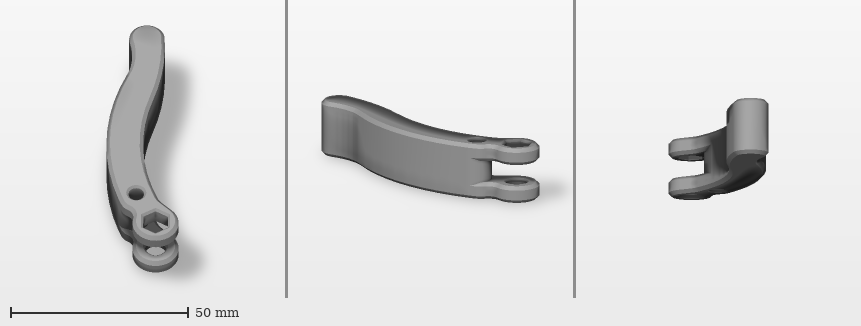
import cadquery as cq
import math

length = 71.6
width = 42.8
height = 16.0

tip_radius = 5.0
tip_centre = (tip_radius, width - tip_radius)
bend_centre = (62.75, 60.7)
bend_inner_radius = 49.5
bend_outer_radius = 59.9
back_radius = 60.0
palm_centre = (-0.3, 15.4)
palm_radius = 17.9
palm_end_x = 11.45
palm_blend_radius = 14.3
bend_start_x = 13.75

eye_radius = 6.5
eye_centre = (length - eye_radius, eye_radius)
neck_top_radius = 5.7
neck_top_slope = math.radians(16.2)
neck_top_start_x = 59.3
neck_top_end_x = 57.0
heel_start_x = 52.2
heel_nose = (54.35, 1.5)
heel_nose_radius = 4.3
neck_start = (57.0, 2.1)
neck_radius = 3.0
neck_end_x = 60.6

plate_thickness = 4.9
edge_chamfer = 1.0
nose_centre = (53.4, 6.3)
nose_radius = 4.4
nose_start = (52.8, 1.8)
nose_blend_radius = 5.9
nose_wall_angle = math.radians(26)
nose_wall_length = 7.15

pin_hole = (53.4, 6.9)
pin_hole_diameter = 4.4
hole_chamfer = 0.65
nut_flats = 6.95
screw_hole_diameter = 6.0
screw_rim_diameter = 7.0
groove_top = 3.7


def polar(centre, radius, angle):
    """Point of a circle at an angle from +X."""
    return (centre[0] + radius * math.cos(angle), centre[1] + radius * math.sin(angle))


def toward(centre, target, distance):
    """Point at a distance from centre, in the direction of target."""
    angle = math.atan2(target[1] - centre[1], target[0] - centre[0])
    return polar(centre, distance, angle)


def on_circle_at_x(centre, radius, x, side):
    """Point of a circle at x, above its centre (side 1) or below it (side -1)."""
    return (x, centre[1] + side * math.sqrt(radius**2 - (x - centre[0]) ** 2))


def centre_from_distances(first, first_distance, second, second_distance):
    """Point at the given distances from two points, on the right of the way from first to second."""
    gap = math.dist(first, second)
    along = (first_distance**2 - second_distance**2 + gap**2) / (2 * gap)
    aside = math.acos(along / first_distance)
    heading = math.atan2(second[1] - first[1], second[0] - first[0])
    return polar(first, first_distance, heading - aside)


back_centre = centre_from_distances(
    tip_centre, back_radius - tip_radius, bend_centre, back_radius + bend_inner_radius
)
back_start = toward(bend_centre, back_centre, bend_inner_radius)
tip_top = toward(back_centre, tip_centre, back_radius)
tip_bottom = toward(tip_centre, palm_centre, tip_radius)
palm_end = on_circle_at_x(palm_centre, palm_radius, palm_end_x, 1)
bend_start = on_circle_at_x(bend_centre, bend_outer_radius, bend_start_x, -1)
heel_start = on_circle_at_x(bend_centre, bend_outer_radius, heel_start_x, -1)
neck_end = on_circle_at_x(eye_centre, eye_radius, neck_end_x, -1)
neck_top_end = on_circle_at_x(bend_centre, bend_inner_radius, neck_top_end_x, -1)
eye_top = polar(eye_centre, eye_radius, math.pi / 2 + neck_top_slope)
neck_top_start = (
    neck_top_start_x,
    eye_top[1] - (eye_top[0] - neck_top_start_x) * math.tan(neck_top_slope),
)


def outline():
    """Outline of the whole lever, counterclockwise from the tip."""
    return (
        cq.Workplane("XY")
        .moveTo(*tip_bottom)
        .radiusArc(palm_end, palm_radius)
        .radiusArc(bend_start, palm_blend_radius)
        .radiusArc(heel_start, -bend_outer_radius)
        .lineTo(*heel_nose)
        .radiusArc(neck_start, -heel_nose_radius)
        .radiusArc(neck_end, neck_radius)
        .threePointArc((length, eye_centre[1]), eye_top)
        .lineTo(*neck_top_start)
        .radiusArc(neck_top_end, neck_top_radius)
        .radiusArc(back_start, bend_inner_radius)
        .radiusArc(tip_top, -back_radius)
        .threePointArc(toward(tip_centre, eye_centre, -tip_radius), tip_bottom)
        .close()
    )


def slab(bottom, thickness):
    """The outline as a plate with both rims chamfered."""
    body = outline().extrude(thickness).faces("|Z").edges().chamfer(edge_chamfer)
    return body.translate((0, 0, bottom))


def solid_end():
    """Region of the arm left unslotted: everything behind a round nose near the pin hole."""
    lower = polar(nose_centre, nose_radius, nose_wall_angle - math.pi / 2)
    upper = polar(nose_centre, nose_radius, math.pi / 2 - nose_wall_angle)
    upper_mouth = polar(upper, nose_wall_length, math.pi - nose_wall_angle)
    return (
        cq.Workplane("XY")
        .moveTo(nose_start[0], 0)
        .lineTo(*nose_start)
        .radiusArc(lower, -nose_blend_radius)
        .threePointArc(polar(nose_centre, nose_radius, 0), upper)
        .lineTo(*upper_mouth)
        .lineTo(upper_mouth[0], width)
        .lineTo(0, width)
        .lineTo(0, 0)
        .close()
        .extrude(height)
    )


def turned(axis_position, profile):
    """Solid of revolution about a vertical axis, from (radius, height) points."""
    return (
        cq.Workplane("XZ", origin=(*axis_position, 0))
        .polyline(profile)
        .close()
        .revolve(360, (0, 0), (0, 1))
    )


def pin_bore():
    """Through hole of the arm, with both mouths chamfered."""
    radius = pin_hole_diameter / 2
    mouth = radius + hole_chamfer
    return turned(pin_hole, [
        (0, 0),
        (mouth, 0),
        (radius, hole_chamfer),
        (radius, height - hole_chamfer),
        (mouth, height),
        (0, height),
    ])


def screw_bore():
    """Through hole of the lower plate, with both mouths chamfered and a groove below its rim."""
    radius = screw_hole_diameter / 2
    rim = screw_rim_diameter / 2
    return turned(eye_centre, [
        (0, 0),
        (radius + edge_chamfer, 0),
        (radius, edge_chamfer),
        (radius, groove_top - hole_chamfer),
        (radius + hole_chamfer, groove_top),
        (radius, groove_top),
        (radius, plate_thickness - (rim - radius)),
        (rim, plate_thickness),
        (0, plate_thickness),
    ])


def across_corners(across_flats):
    """Corner-to-corner size of a hexagon."""
    return across_flats / math.cos(math.pi / 6)


def nut_hole():
    """Hexagonal through hole of the upper plate, corners along Y, with a chamfered mouth."""
    corners = across_corners(nut_flats)
    mouth_corners = across_corners(nut_flats + 2 * hole_chamfer)
    bottom = height - plate_thickness
    hexagon = (
        cq.Workplane("XY", origin=(*eye_centre, bottom))
        .transformed(rotate=(0, 0, 90))
        .polygon(6, corners)
        .extrude(plate_thickness)
    )
    flare = (
        cq.Workplane("XY", origin=(*eye_centre, height - hole_chamfer))
        .transformed(rotate=(0, 0, 90))
        .polygon(6, corners)
        .workplane(offset=hole_chamfer)
        .polygon(6, mouth_corners)
        .loft(ruled=True)
    )
    return hexagon.union(flare)


result = (
    slab(0, height)
    .intersect(solid_end())
    .union(slab(0, plate_thickness))
    .union(slab(height - plate_thickness, plate_thickness))
    .cut(pin_bore())
    .cut(screw_bore())
    .cut(nut_hole())
)